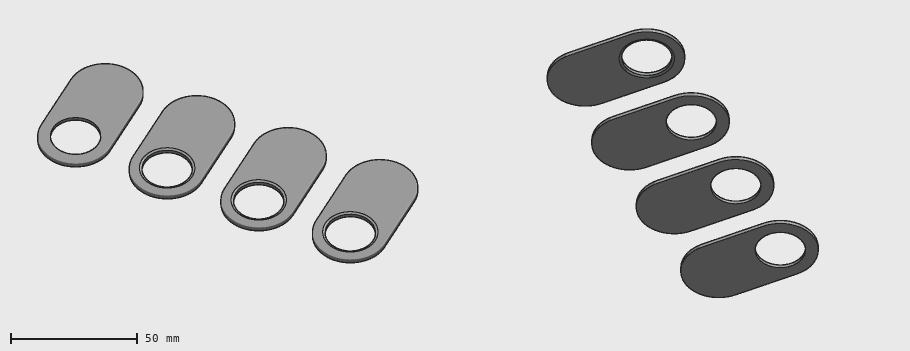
import cadquery as cq

row_length = 150.0
tag_width = 30.0
tag_length = 57.0
tag_thickness = 2.0
rim_fillet_radius = 0.4
hole_diameter = 19.8
hole_chamfer_width = 1.0
hole_chamfer_depth = 0.4
tag_count = 4
underside_tags = 1

tag_pitch = (row_length - tag_width) / (tag_count - 1)
first_tag_x = -(row_length - tag_width) / 2
hole_y = -(tag_length - tag_width) / 2


def tag_blank():
    """Flat tag with two round ends and a rounded upper rim."""
    return (
        cq.Workplane("XY")
        .slot2D(tag_length, tag_width, 90)
        .extrude(tag_thickness)
        .faces(">Z")
        .edges()
        .fillet(rim_fillet_radius)
    )


def hole_cutter(chamfered_face):
    """Round through cutter that flares towards the chosen face."""
    hole_radius = hole_diameter / 2
    flared_radius = hole_radius + hole_chamfer_width
    straight_depth = tag_thickness - hole_chamfer_depth
    cutter = (
        cq.Workplane("XZ")
        .polyline([
            (0, 0),
            (hole_radius, 0),
            (hole_radius, straight_depth),
            (flared_radius, tag_thickness),
            (0, tag_thickness),
        ])
        .close()
        .revolve(360, (0, 0, 0), (0, 1, 0))
    )
    if chamfered_face == "bottom":
        cutter = cutter.mirror("XY").translate((0, 0, tag_thickness))
    return cutter.translate((0, hole_y, 0))


def tag(x, chamfered_face):
    """One complete tag centred at x."""
    return tag_blank().cut(hole_cutter(chamfered_face)).translate((x, 0, 0))


tags = []
for index in range(tag_count):
    tag_x = first_tag_x + index * tag_pitch
    chamfered_face = "bottom" if index < underside_tags else "top"
    tags.append(tag(tag_x, chamfered_face))

result = cq.Compound.makeCompound([solid for body in tags for solid in body.solids().vals()])